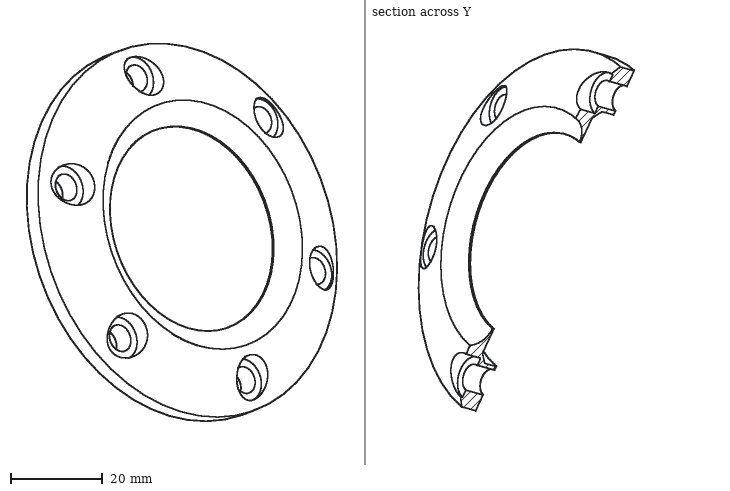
import cadquery as cq
import math

outer_diameter = 84.0
rim_height = 4.0
tilt_from_vertical = 28.2

crest_diameter = 56.0
crest_height = 9.25
dome_radius = 25.0

bore_diameter = 46.0
bowl_floor_height = 5.5

recess_diameter = 62.0
recess_floor_diameter = 58.0
recess_wall_depth = 3.3
recess_depth = 5.0

screw_count = 6
screw_circle_diameter = 70.0
screw_hole_diameter = 6.0
counterbore_diameter = 9.5
counterbore_floor_height = 5.0

outer_radius = outer_diameter / 2
crest_radius = crest_diameter / 2
bore_radius = bore_diameter / 2
recess_radius = recess_diameter / 2
recess_floor_radius = recess_floor_diameter / 2


def level_arc_radius(run, rise):
    """Radius of an arc that starts level and changes height by rise over run."""
    return (run**2 + rise**2) / (2 * rise)


def ring_body():
    """Revolve the ring section about local Z, with the flat back face at Z = 0."""
    bowl_radius = level_arc_radius(crest_radius - bore_radius, crest_height - bowl_floor_height)
    section = (
        cq.Workplane("XZ")
        .moveTo(recess_radius, 0)
        .lineTo(outer_radius, 0)
        .lineTo(outer_radius, rim_height)
        .radiusArc((crest_radius, crest_height), -dome_radius)
        .radiusArc((bore_radius, bowl_floor_height), bowl_radius)
        .lineTo(bore_radius, recess_depth)
        .lineTo(recess_floor_radius, recess_depth)
        .lineTo(recess_radius, recess_wall_depth)
        .close()
    )
    return section.revolve(360, (0, 0, 0), (0, 1, 0))


def screw_cutter():
    """Stepped cylinder that cuts one through hole and its counterbore."""
    hole = cq.Workplane("XY").circle(screw_hole_diameter / 2).extrude(crest_height)
    counterbore = (
        cq.Workplane("XY")
        .workplane(offset=counterbore_floor_height)
        .circle(counterbore_diameter / 2)
        .extrude(crest_height - counterbore_floor_height)
    )
    return hole.union(counterbore)


def cut_screw_holes(body):
    cutter = screw_cutter()
    for index in range(screw_count):
        angle = 2 * math.pi * index / screw_count
        x = screw_circle_diameter / 2 * math.cos(angle)
        y = screw_circle_diameter / 2 * math.sin(angle)
        body = body.cut(cutter.translate((x, y, 0)))
    return body


flat_ring = cut_screw_holes(ring_body())
result = flat_ring.rotate((0, 0, 0), (0, 1, 0), 90 - tilt_from_vertical)